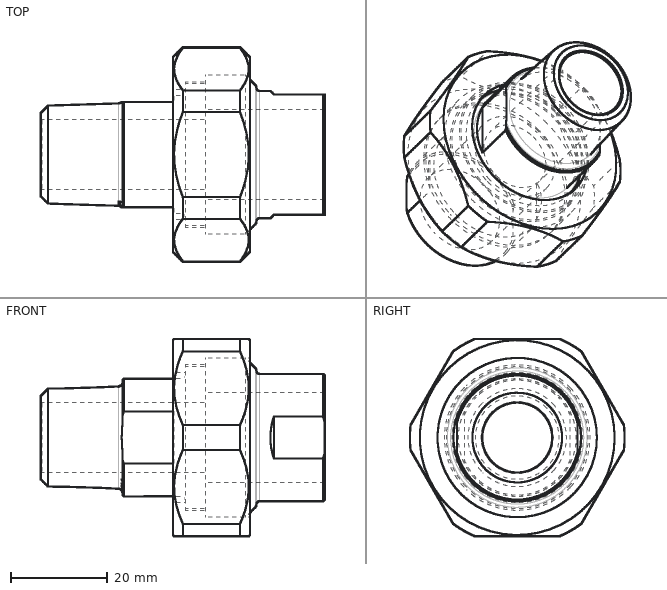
import cadquery as cq
import math

SIN_45 = math.sin(math.radians(45))

total_length = 59.0
nut_start = 27.45
nut_length = 16.05
nut_end = nut_start + nut_length
nut_lip = 2.65
flange_start = nut_start + nut_lip
flange_thickness = 4.15
joint_face = flange_start + flange_thickness

tail_bore_diameter = 14.5
tail_bore_chamfer = 0.25
tail_tip_radius = 10.2
tail_tip_chamfer = 1.55
thread_slope = 1 / 32
thread_end = 16.15
collar_start = 17.0
collar_radius = 24.5 / 2
collar_chamfer = 0.3
tail_flat_offset = 11.0
tail_flat_end = 27.75
flange_radius = 29.5 / 2
flange_fillet = 1.0

across_flats = 41.0
across_corners = 44.65
nut_face_diameter = 40.5
lip_bore_diameter = 27.1
flange_clearance_diameter = 30.25
joint_diameter = 33.1

socket_bore_diameter = 18.65
socket_radius = 26.5 / 2
shoulder_position = 44.85
shoulder_round = 0.95
neck_fillet = 0.6
socket_end_chamfer = 0.35
socket_flat_offset = 12.5
socket_flat_start = 48.45


def cylinder(diameter, start, end):
    return cq.Workplane("YZ", origin=(start, 0, 0)).circle(diameter / 2).extrude(end - start)


def turned(profile):
    """Revolve a closed profile of (axial position, radius) around X."""
    return profile.close().revolve(360, (0, 0, 0), (1, 0, 0))


def cut_flats(body, offset, outline):
    """Cut away everything beyond +Y and -Y offset within an outline of (x, distance from axis) points."""
    half_height = joint_diameter
    for side in (1, -1):
        points = [(x, side * y) for x, y in outline(offset)]
        body = body.cut(cq.Workplane("XY").polyline(points).close().extrude(half_height, both=True))
    return body


def tail_flat_outline(offset):
    """Flat with a square inner end."""
    return [
        (thread_end, offset),
        (tail_flat_end, offset),
        (tail_flat_end, joint_diameter),
        (thread_end, joint_diameter),
    ]


def socket_flat_outline(offset):
    """Flat that runs out at 45 degrees."""
    runout = socket_radius
    return [
        (socket_flat_start, offset),
        (total_length, offset),
        (total_length, offset + runout),
        (socket_flat_start - runout, offset + runout),
    ]


def make_tailpiece():
    bore_radius = tail_bore_diameter / 2
    thread_end_radius = tail_tip_radius + (thread_end - tail_tip_chamfer) * thread_slope
    relief = collar_start - thread_end
    flange_fillet_middle = flange_fillet * SIN_45
    profile = (
        cq.Workplane("XY")
        .moveTo(0, bore_radius + tail_bore_chamfer)
        .lineTo(0, tail_tip_radius - tail_tip_chamfer)
        .lineTo(tail_tip_chamfer, tail_tip_radius)
        .lineTo(thread_end, thread_end_radius)
        .threePointArc(
            (thread_end + relief * SIN_45, thread_end_radius + relief * (1 - SIN_45)),
            (collar_start, thread_end_radius + relief),
        )
        .lineTo(collar_start, collar_radius - collar_chamfer)
        .lineTo(collar_start + collar_chamfer, collar_radius)
        .lineTo(flange_start - flange_fillet, collar_radius)
        .threePointArc(
            (
                flange_start - flange_fillet + flange_fillet_middle,
                collar_radius + flange_fillet - flange_fillet_middle,
            ),
            (flange_start, collar_radius + flange_fillet),
        )
        .lineTo(flange_start, flange_radius)
        .lineTo(joint_face, flange_radius)
        .lineTo(joint_face, bore_radius)
        .lineTo(tail_bore_chamfer, bore_radius)
    )
    return cut_flats(turned(profile), tail_flat_offset, tail_flat_outline)


def make_socket():
    bore_radius = socket_bore_diameter / 2
    thread_radius = joint_diameter / 2
    neck_radius = socket_radius + neck_fillet
    round_start = shoulder_position - shoulder_round * (1 - SIN_45)
    round_start_radius = neck_radius + shoulder_round * SIN_45
    cone_start = round_start - (thread_radius - round_start_radius)
    middle_angle = math.radians(22.5)
    profile = (
        cq.Workplane("XY")
        .moveTo(joint_face, bore_radius)
        .lineTo(joint_face, thread_radius)
        .lineTo(cone_start, thread_radius)
        .lineTo(round_start, round_start_radius)
        .threePointArc(
            (
                shoulder_position - shoulder_round * (1 - math.cos(middle_angle)),
                neck_radius + shoulder_round * math.sin(middle_angle),
            ),
            (shoulder_position, neck_radius),
        )
        .threePointArc(
            (shoulder_position + neck_fillet * (1 - SIN_45), neck_radius - neck_fillet * SIN_45),
            (shoulder_position + neck_fillet, socket_radius),
        )
        .lineTo(total_length - socket_end_chamfer, socket_radius)
        .lineTo(total_length, socket_radius - socket_end_chamfer)
        .lineTo(total_length, bore_radius)
    )
    return cut_flats(turned(profile), socket_flat_offset, socket_flat_outline)


def make_nut():
    hexagon_diameter = across_flats / math.cos(math.radians(30))
    hexagon = cq.Workplane("YZ", origin=(nut_start, 0, 0)).polygon(6, hexagon_diameter).extrude(nut_length)
    corner_chamfer = (across_corners - nut_face_diameter) / 2
    blank = cylinder(across_corners, nut_start, nut_end).edges().chamfer(corner_chamfer)
    return (
        hexagon.intersect(blank)
        .cut(cylinder(lip_bore_diameter, nut_start, nut_end))
        .cut(cylinder(flange_clearance_diameter, flange_start, nut_end))
        .cut(cylinder(joint_diameter, joint_face, nut_end))
    )


tailpiece = make_tailpiece()
socket = make_socket()
nut = make_nut()

result = cq.Compound.makeCompound([tailpiece.val(), socket.val(), nut.val()])